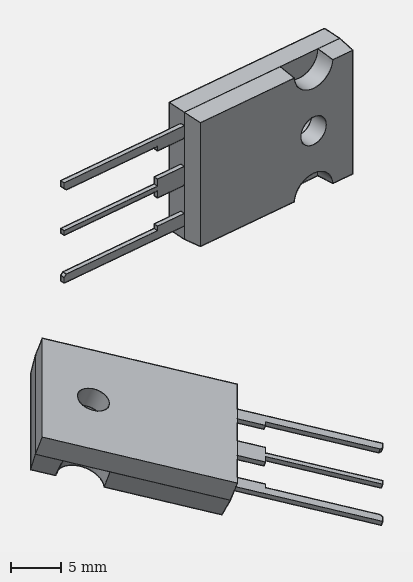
import cadquery as cq
import math

body_length = 20.35
body_width = 15.25
total_length = 36.07
total_thickness = 4.58
base_thickness = 2.35
cap_thickness = total_thickness - base_thickness
cap_draft = 5

hole_diameter = 3.32
hole_y = 15.0
notch_radius = 2.45
notch_draft = 2

lead_length = total_length - body_length
lead_thickness = 0.55
shoulder_length = 3.5
outer_edge_z = 6.02
outer_shoulder_width = 1.5
outer_shank_width = 0.97
tip_chamfer = 0.3
middle_shoulder_width = 2.27
middle_shank_width = 0.58


def mounting_hole():
    return (
        cq.Workplane("YZ")
        .center(hole_y, 0)
        .circle(hole_diameter / 2)
        .extrude(total_thickness)
    )


def lead_blank(profile):
    """Flat lead ending flush with the parting plane between base and cap."""
    return (
        cq.Workplane("YZ", origin=(base_thickness - lead_thickness, 0, 0))
        .polyline(profile)
        .close()
        .extrude(lead_thickness)
    )


def outer_lead(side):
    """Lead with a straight outer edge; side is +1 or -1 along Z."""
    shoulder_z = outer_edge_z - outer_shoulder_width
    shank_z = outer_edge_z - outer_shank_width
    profile = [
        (0, outer_edge_z),
        (-lead_length, outer_edge_z),
        (-lead_length, shank_z + tip_chamfer),
        (-lead_length + tip_chamfer, shank_z),
        (-shoulder_length, shank_z),
        (-shoulder_length, shoulder_z),
        (0, shoulder_z),
    ]
    return lead_blank([(y, side * z) for y, z in profile])


def middle_lead():
    half_shoulder = middle_shoulder_width / 2
    half_shank = middle_shank_width / 2
    return lead_blank([
        (0, half_shoulder),
        (-shoulder_length, half_shoulder),
        (-shoulder_length, half_shank),
        (-lead_length, half_shank),
        (-lead_length, -half_shank),
        (-shoulder_length, -half_shank),
        (-shoulder_length, -half_shoulder),
        (0, -half_shoulder),
    ])


def make_base():
    """Rear half of the package together with its three leads."""
    base = cq.Workplane("XY").box(
        base_thickness, body_length, body_width, centered=(False, False, True)
    )
    base = base.cut(mounting_hole()).union(middle_lead())
    for side in (1, -1):
        base = base.union(outer_lead(side))
    return base


def notch_cutter(side):
    """Cone along X, centred on one long edge of the cap."""
    outer_radius = notch_radius + cap_thickness * math.tan(math.radians(notch_draft))
    return cq.Workplane(cq.Solid.makeCone(
        notch_radius,
        outer_radius,
        cap_thickness,
        pnt=cq.Vector(base_thickness, hole_y, side * body_width / 2),
        dir=cq.Vector(1, 0, 0),
    ))


def make_cap():
    """Drafted front half of the package with a round notch in each long side."""
    cap = (
        cq.Workplane("YZ", origin=(base_thickness, 0, 0))
        .center(body_length / 2, 0)
        .rect(body_length, body_width)
        .extrude(cap_thickness, taper=cap_draft)
        .cut(mounting_hole())
    )
    for side in (1, -1):
        cap = cap.cut(notch_cutter(side))
    return cap


base = make_base()
cap = make_cap()
result = cq.Compound.makeCompound([base.val(), cap.val()])